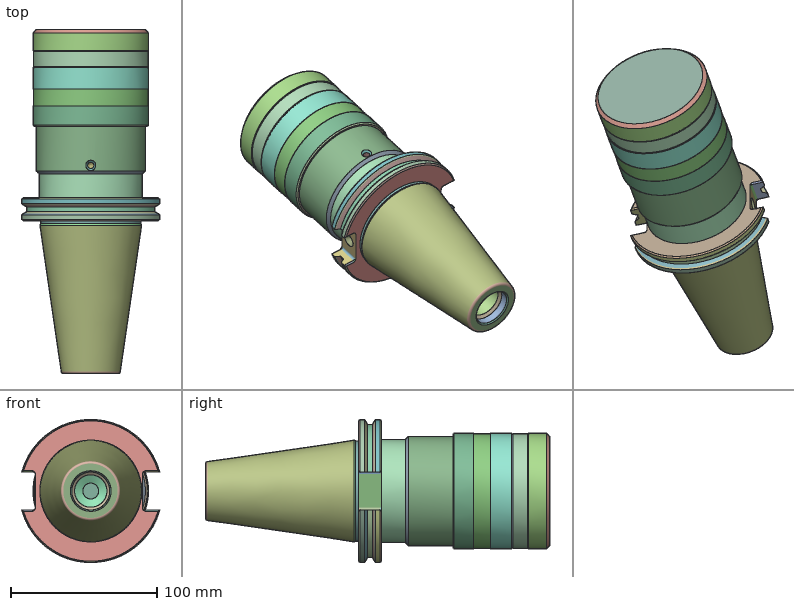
import cadquery as cq
import math


TAPER_LENGTH = 101.5
TAPER_RATIO = 7 / 24
GAUGE_RADIUS = 34.9
SMALL_END_RADIUS = GAUGE_RADIUS - TAPER_LENGTH * TAPER_RATIO / 2
SMALL_END_FILLET = 1.6
RELIEF_RADIUS = 34.5
RELIEF_SLOPE_LENGTH = 1.2

FLANGE_RADIUS = 49.0
FLANGE_START = 104.6
FLANGE_WIDTH = 15.8
FLANGE_MIDDLE = FLANGE_START + FLANGE_WIDTH / 2
RIM_CHAMFER = 1.0
GROOVE_FLOOR_RADIUS = 45.7
GROOVE_FLOOR_HALF_WIDTH = 1.6
GROOVE_FLANK_ANGLE = 30
GROOVE_EDGE_CHAMFER = 0.7

SLOT_HALF_WIDTH = 13.0
SLOT_MOUTH_CHAMFER = 1.0
SLOT_CORNER_RADIUS = 1.5
SLOT_FLOOR_MINUS_X = 38.0
SLOT_FLOOR_PLUS_X = 35.3
DIMPLE_RADIUS = 4.7
DIMPLE_POINT_ANGLE = 90

NECK_RADIUS = 35.3
BODY_RADIUS = 37.5
BODY_START = 136.7
BODY_CHAMFER = 2.1

TOTAL_LENGTH = 235.6
HEAD_RADIUS = 39.5
HEAD_START = 169.2
HEAD_REAR_CHAMFER = 1.0
HEAD_FRONT_CHAMFER = 2.4
BAND_DEPTH = 0.2
BAND_WIDTH = 11.5
REAR_BAND_START = 183.3
FRONT_BAND_START = 209.5
FRONT_BAND_CHAMFER = 0.7

COUNTERBORE_RADIUS = 13.0
COUNTERBORE_CHAMFER = 1.0
COUNTERBORE_DEPTH = 6.4
BORE_RADIUS = 11.0
BORE_DEPTH = 33.0
BORE_FLOOR_RADIUS = 5.5
POINT_ANGLE = 118

SCREW_HOLE_Y = 142.5
SCREW_HOLE_RADIUS = 2.1
SCREW_SINK_RADIUS = 3.5
SCREW_HOLE_DEPTH = 7.0


def revolve_about_y(points):
    return cq.Workplane("XY").polyline(points).close().revolve(360, (0, 0, 0), (0, 1, 0))


def flange_outline():
    """Half section of the flange rim, mirrored about the middle of the gripper groove."""
    edge_radius = FLANGE_RADIUS - GROOVE_EDGE_CHAMFER
    flank_width = (edge_radius - GROOVE_FLOOR_RADIUS) * math.tan(math.radians(GROOVE_FLANK_ANGLE))
    mouth = GROOVE_FLOOR_HALF_WIDTH + flank_width
    half_width = FLANGE_WIDTH / 2
    half = [
        (FLANGE_RADIUS - RIM_CHAMFER, half_width),
        (FLANGE_RADIUS, half_width - RIM_CHAMFER),
        (FLANGE_RADIUS, mouth + GROOVE_EDGE_CHAMFER),
        (edge_radius, mouth),
        (GROOVE_FLOOR_RADIUS, GROOVE_FLOOR_HALF_WIDTH),
    ]
    rear = [(radius, FLANGE_MIDDLE - offset) for radius, offset in half]
    front = [(radius, FLANGE_MIDDLE + offset) for radius, offset in reversed(half)]
    return rear + front


def band_outline(start, edge_chamfer):
    """Band set slightly below the head surface, with its own edges chamfered."""
    end = start + BAND_WIDTH
    band_radius = HEAD_RADIUS - BAND_DEPTH
    edge = [(band_radius, edge_chamfer)]
    if edge_chamfer > 0:
        edge.insert(0, (band_radius - edge_chamfer, 0))
    rear = [(radius, start + offset) for radius, offset in edge]
    front = [(radius, end - offset) for radius, offset in reversed(edge)]
    return [(HEAD_RADIUS, start)] + rear + front + [(HEAD_RADIUS, end)]


def turned_body():
    shank = [
        (0, 0),
        (SMALL_END_RADIUS, 0),
        (GAUGE_RADIUS, TAPER_LENGTH),
        (RELIEF_RADIUS, TAPER_LENGTH + RELIEF_SLOPE_LENGTH),
        (RELIEF_RADIUS, FLANGE_START),
    ]
    body = [
        (NECK_RADIUS, FLANGE_START + FLANGE_WIDTH),
        (NECK_RADIUS, BODY_START),
        (BODY_RADIUS, BODY_START + BODY_CHAMFER),
        (BODY_RADIUS, HEAD_START),
        (HEAD_RADIUS - HEAD_REAR_CHAMFER, HEAD_START),
        (HEAD_RADIUS, HEAD_START + HEAD_REAR_CHAMFER),
    ]
    bands = band_outline(REAR_BAND_START, 0) + band_outline(FRONT_BAND_START, FRONT_BAND_CHAMFER)
    head_end = [
        (HEAD_RADIUS, TOTAL_LENGTH - HEAD_FRONT_CHAMFER),
        (HEAD_RADIUS - HEAD_FRONT_CHAMFER, TOTAL_LENGTH),
        (0, TOTAL_LENGTH),
    ]
    solid = revolve_about_y(shank + flange_outline() + body + bands + head_end)
    return solid.faces("<Y").edges().fillet(SMALL_END_FILLET)


def point_length(radius):
    return radius / math.tan(math.radians(POINT_ANGLE / 2))


def draw_bolt_bore():
    bore_start = COUNTERBORE_DEPTH + COUNTERBORE_RADIUS - BORE_RADIUS
    floor = BORE_DEPTH + point_length(BORE_RADIUS - BORE_FLOOR_RADIUS)
    return revolve_about_y([
        (0, 0),
        (COUNTERBORE_RADIUS + COUNTERBORE_CHAMFER, 0),
        (COUNTERBORE_RADIUS, COUNTERBORE_CHAMFER),
        (COUNTERBORE_RADIUS, COUNTERBORE_DEPTH),
        (BORE_RADIUS, bore_start),
        (BORE_RADIUS, BORE_DEPTH),
        (BORE_FLOOR_RADIUS, floor),
        (0, floor),
    ])


def slot_section(floor_distance, side, y, widening):
    """Slot outline across Y, with rounded floor corners; the floor flat keeps its width when widened."""
    half_width = SLOT_HALF_WIDTH + widening
    corner_start = floor_distance + SLOT_CORNER_RADIUS + widening
    outer = FLANGE_RADIUS + widening
    flat = SLOT_HALF_WIDTH - SLOT_CORNER_RADIUS
    corner_arc = (SLOT_CORNER_RADIUS + widening) * math.sqrt(0.5)
    arc_x = side * (corner_start - corner_arc)
    arc_z = flat + corner_arc
    return (
        cq.Workplane("XZ", origin=(0, y, 0))
        .moveTo(side * outer, -half_width)
        .lineTo(side * corner_start, -half_width)
        .threePointArc((arc_x, -arc_z), (side * floor_distance, -flat))
        .lineTo(side * floor_distance, flat)
        .threePointArc((arc_x, arc_z), (side * corner_start, half_width))
        .lineTo(side * outer, half_width)
        .close()
        .wire()
        .val()
    )


def drive_slot(floor_distance, side):
    """Slot open outwards along X, widened at both flange faces; side is +1 or -1."""
    rear = FLANGE_START
    front = FLANGE_START + FLANGE_WIDTH
    stations = [
        (rear, SLOT_MOUTH_CHAMFER),
        (rear + SLOT_MOUTH_CHAMFER, 0),
        (front - SLOT_MOUTH_CHAMFER, 0),
        (front, SLOT_MOUTH_CHAMFER),
    ]
    sections = [slot_section(floor_distance, side, y, widening) for y, widening in stations]
    return cq.Workplane(cq.Solid.makeLoft(sections, True))


def slot_dimple():
    depth = DIMPLE_RADIUS / math.tan(math.radians(DIMPLE_POINT_ANGLE / 2))
    cone = cq.Solid.makeCone(
        DIMPLE_RADIUS, 0, depth, cq.Vector(-SLOT_FLOOR_MINUS_X, FLANGE_MIDDLE, 0), cq.Vector(1, 0, 0)
    )
    return cq.Workplane(cone)


def screw_hole():
    sink_depth = SCREW_SINK_RADIUS - SCREW_HOLE_RADIUS
    section = [
        (0, BODY_RADIUS),
        (SCREW_SINK_RADIUS, BODY_RADIUS),
        (SCREW_HOLE_RADIUS, BODY_RADIUS - sink_depth),
        (SCREW_HOLE_RADIUS, BODY_RADIUS - SCREW_HOLE_DEPTH),
        (0, BODY_RADIUS - SCREW_HOLE_DEPTH - point_length(SCREW_HOLE_RADIUS)),
    ]
    plane = cq.Workplane("XZ", origin=(0, SCREW_HOLE_Y, 0))
    return plane.polyline(section).close().revolve(360, (0, 0, 0), (0, 1, 0))


result = (
    turned_body()
    .cut(draw_bolt_bore())
    .cut(drive_slot(SLOT_FLOOR_MINUS_X, -1))
    .cut(drive_slot(SLOT_FLOOR_PLUS_X, 1))
    .cut(slot_dimple())
    .cut(screw_hole())
)